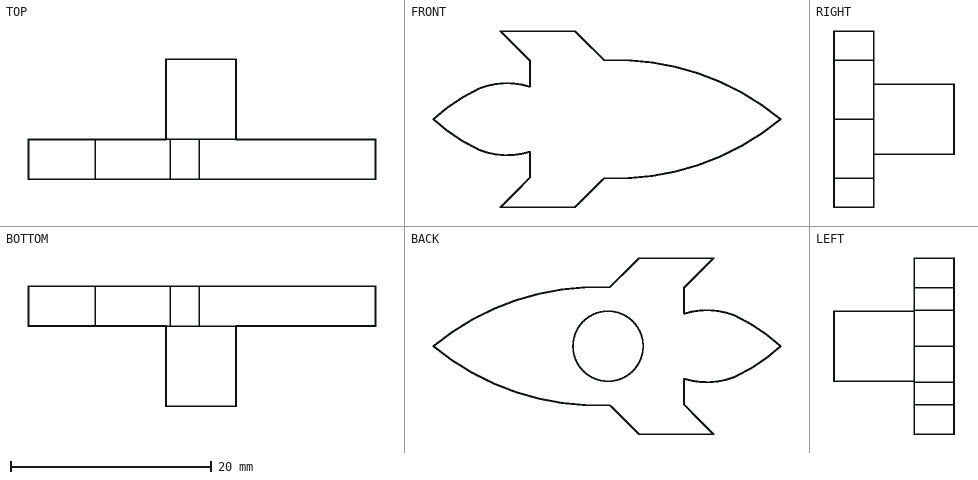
import cadquery as cq

length = 34.7
fin_span = 17.6
plate_thickness = 4.0
peg_length = 8.0
peg_diameter = 7.0
peg_x = 17.25

flame_outer_mid = (2.25, 1.77)
flame_joint = (4.6, 3.1)
flame_crest = (7.2, 3.6)
flame_root_height = 3.25

tail_x = 9.65
fin_tip_rear_x = 6.7
fin_tip_front_x = 14.15
fin_rear_root_height = 5.83
fin_front_root = (17.07, 5.9)

nose_mid = (28.05, 4.0)


def make_half_plate():
    """Upper half of the rocket plate, closed along its axis; front face at Y = 0."""
    fin_height = fin_span / 2
    return (
        cq.Workplane("XZ")
        .moveTo(0, 0)
        .threePointArc(flame_outer_mid, flame_joint)
        .threePointArc(flame_crest, (tail_x, flame_root_height))
        .lineTo(tail_x, fin_rear_root_height)
        .lineTo(fin_tip_rear_x, fin_height)
        .lineTo(fin_tip_front_x, fin_height)
        .lineTo(*fin_front_root)
        .threePointArc(nose_mid, (length, 0))
        .close()
        .extrude(-plate_thickness)
    )


def make_peg():
    """Round peg standing on the back face of the plate."""
    return (
        cq.Workplane("XZ", origin=(peg_x, plate_thickness, 0))
        .circle(peg_diameter / 2)
        .extrude(-peg_length)
    )


half_plate = make_half_plate()
plate = half_plate.union(half_plate.mirror("XY")).clean()
result = plate.union(make_peg())